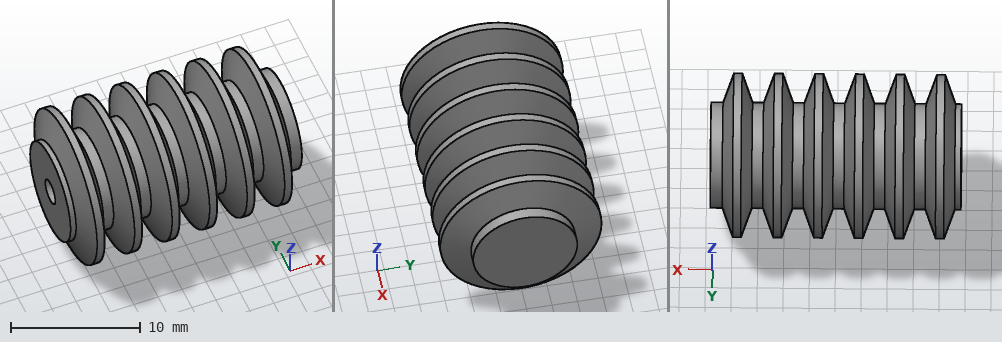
import cadquery as cq

length = 19.29
core_diameter = 8.16
ridge_diameter = 12.65

ridge_count = 6
ridge_pitch = 3.12
first_ridge_center = 1.6
crest_width = 0.64
root_width = 2.28

bore_diameter = 2.0
bore_depth = 9.65


def make_ridge(center):
    """Solid trapezoidal disc around the X axis, centred at X = center."""
    half_root = root_width / 2
    half_crest = crest_width / 2
    radius = ridge_diameter / 2
    root_radius = core_diameter / 2
    profile = cq.Workplane("XY").polyline([
        (center - half_root, 0),
        (center - half_root, root_radius),
        (center - half_crest, radius),
        (center + half_crest, radius),
        (center + half_root, root_radius),
        (center + half_root, 0),
    ]).close()
    return profile.revolve(360, (0, 0, 0), (1, 0, 0))


result = cq.Workplane("YZ").circle(core_diameter / 2).extrude(length)

for index in range(ridge_count):
    result = result.union(make_ridge(first_ridge_center + index * ridge_pitch))

bore = cq.Workplane("YZ").circle(bore_diameter / 2).extrude(bore_depth)
result = result.cut(bore)